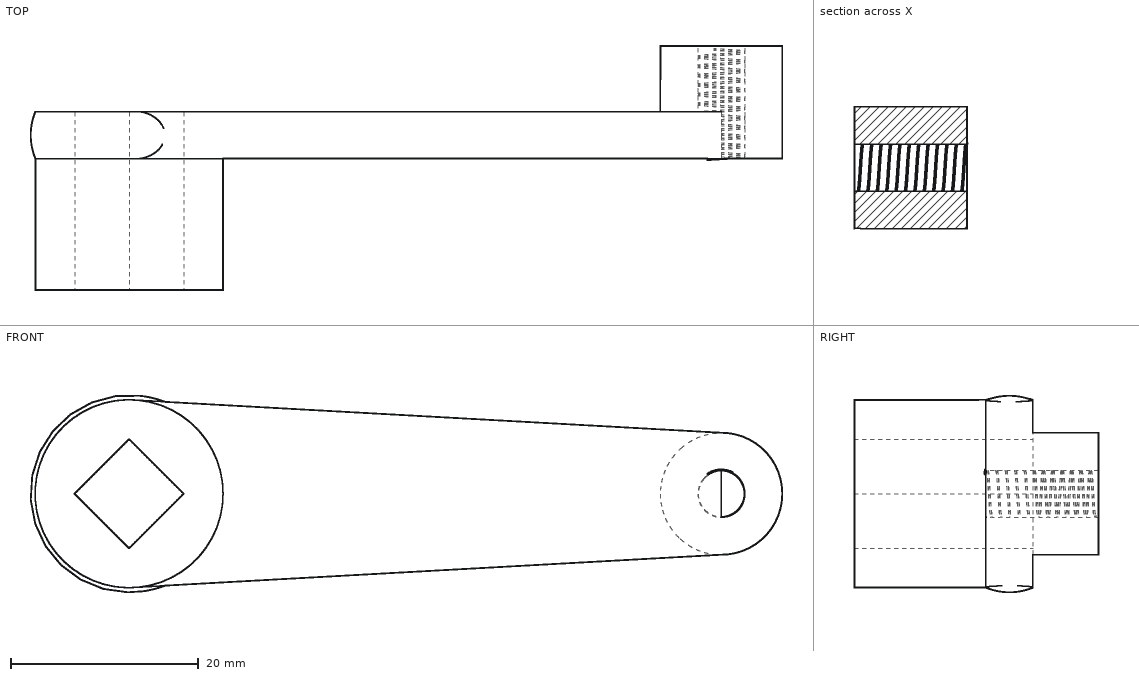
import cadquery as cq

arm_length = 63.0
arm_thickness = 5.0
hub_diameter = 20.0
hub_height = 14.0
rim_bulge = 0.5
pin_diameter = 13.0
pin_height = 7.0
pin_bore_diameter = 5.0
square_side = 8.2
thread_pitch = 1.0
thread_crest_radius = 2.46
thread_root_radius = 2.6
thread_crest_width = 0.15
thread_root_width = 0.35
thread_start_angle = 125.0

hub_radius = hub_diameter / 2
pin_radius = pin_diameter / 2


def cylinder(x, radius, y_start, y_end):
    """Cylinder along Y, centred at (x, z = 0)."""
    return (
        cq.Workplane("XZ", origin=(x, y_start, 0))
        .circle(radius)
        .extrude(y_start - y_end)
    )


def make_arm():
    """Flat arm tapering from the hub diameter to the pin diameter."""
    return (
        cq.Workplane("XZ")
        .moveTo(0, -hub_radius)
        .lineTo(arm_length, -pin_radius)
        .lineTo(arm_length, pin_radius)
        .lineTo(0, hub_radius)
        .close()
        .extrude(-arm_thickness)
    )


def make_rim():
    """Disc around the hub axis whose edge bulges outward as an arc across the arm thickness."""
    return (
        cq.Workplane("XY")
        .lineTo(hub_radius, 0)
        .threePointArc(
            (hub_radius + rim_bulge, arm_thickness / 2),
            (hub_radius, arm_thickness),
        )
        .lineTo(0, arm_thickness)
        .close()
        .revolve(360, (0, 0, 0), (0, 1, 0))
    )


def make_pin():
    """Pin through the arm thickness, standing out behind the arm, with a bore along its axis."""
    pin_end = arm_thickness + pin_height
    pin = cylinder(arm_length, pin_radius, 0, pin_end)
    bore = cylinder(arm_length, pin_bore_diameter / 2, 0, pin_end)
    return pin.cut(bore)


def make_thread():
    """Low right-handed thread ridge along the bore wall, starting on the front face of the arm."""
    thread_length = arm_thickness + pin_height - thread_root_width
    path = cq.Wire.makeHelix(thread_pitch, thread_length, thread_crest_radius)
    ridge = (
        cq.Workplane("XZ")
        .moveTo(thread_crest_radius, -thread_crest_width / 2)
        .lineTo(thread_root_radius, -thread_root_width / 2)
        .lineTo(thread_root_radius, thread_root_width / 2)
        .lineTo(thread_crest_radius, thread_crest_width / 2)
        .close()
        .sweep(cq.Workplane(path), isFrenet=True)
    )
    return (
        ridge.rotate((0, 0, 0), (1, 0, 0), -90)
        .rotate((0, 0, 0), (0, 1, 0), -thread_start_angle)
        .translate((arm_length, 0, 0))
    )


def make_square_hole():
    """Square prism turned 45 degrees, through the hub and the arm."""
    return (
        cq.Workplane("XZ", origin=(0, arm_thickness, 0))
        .transformed(rotate=(0, 0, 45))
        .rect(square_side, square_side)
        .extrude(arm_thickness + hub_height)
    )


hub = cylinder(0, hub_radius, -hub_height, 0)

threaded_pin = make_pin().union(make_thread())
crank = make_arm().union(make_rim()).union(hub).union(threaded_pin)
result = crank.cut(make_square_hole())